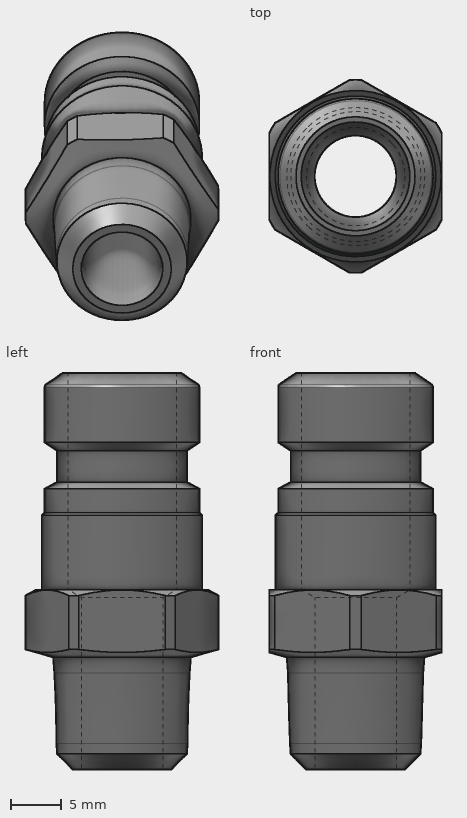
import cadquery as cq
import math

total_height = 39.0
hex_across_flats = 17.0
hex_corner_diameter = 19.0
hex_bottom_z = 11.05
hex_top_z = 17.7
hex_bottom_chamfer_height = 0.78
hex_top_chamfer_height = 0.6
hex_top_face_radius = 8.42

shank_tip_radius = 6.4
tip_chamfer = 1.55
thread_start_z = 2.6
thread_end_z = 9.5
thread_start_radius = 6.47
thread_end_radius = 6.65
shank_root_radius = 6.8

body_radius = 15.8 / 2
collar_radius = 15.25 / 2
neck_radius = 12.8 / 2
body_shoulder_z = 25.27
collar_top_z = 27.6
neck_bottom_z = 28.28
neck_top_z = 31.35
head_bottom_z = 32.18
head_top_cone_z = 37.8
head_rim_radius = 5.85
head_edge_fillet = 0.4

through_bore_radius = 8.0 / 2
wide_bore_radius = 10.7 / 2
wide_bore_bottom_z = hex_top_z
bore_cone_angle = 30.0


def revolve_profile(points):
    """Turn a closed (radius, z) outline around the Z axis."""
    return cq.Workplane("XZ").polyline(points).close().revolve(360, (0, 0, 0), (0, 1, 0))


def make_shank():
    """Shank that widens upward in three conical stretches above its tip chamfer."""
    return revolve_profile([
        (0, 0),
        (shank_tip_radius - tip_chamfer, 0),
        (shank_tip_radius, tip_chamfer),
        (thread_start_radius, thread_start_z),
        (thread_end_radius, thread_end_z),
        (shank_root_radius, hex_bottom_z),
        (0, hex_bottom_z),
    ])


def make_hexagon():
    """Hexagon with corners toward +Y and -Y, turned round and conical at its corners."""
    corner_radius = hex_corner_diameter / 2
    prism = (
        cq.Workplane("XY", origin=(0, 0, hex_bottom_z))
        .polygon(6, hex_across_flats / math.cos(math.radians(30)))
        .extrude(hex_top_z - hex_bottom_z)
        .rotate((0, 0, 0), (0, 0, 1), 30)
    )
    turned_blank = revolve_profile([
        (0, hex_bottom_z),
        (shank_root_radius, hex_bottom_z),
        (corner_radius, hex_bottom_z + hex_bottom_chamfer_height),
        (corner_radius, hex_top_z - hex_top_chamfer_height),
        (hex_top_face_radius, hex_top_z),
        (0, hex_top_z),
    ])
    return prism.intersect(turned_blank)


def make_plug():
    """Body, collar, locking groove and head, with the upper head edge rounded."""
    plug = revolve_profile([
        (0, hex_top_z),
        (body_radius, hex_top_z),
        (body_radius, body_shoulder_z - (body_radius - collar_radius)),
        (collar_radius, body_shoulder_z),
        (collar_radius, collar_top_z),
        (neck_radius, neck_bottom_z),
        (neck_radius, neck_top_z),
        (collar_radius, head_bottom_z),
        (collar_radius, head_top_cone_z),
        (head_rim_radius, total_height),
        (0, total_height),
    ])
    edge_finder = cq.selectors.BoxSelector(
        (-body_radius, -body_radius, head_top_cone_z - head_edge_fillet / 2),
        (body_radius, body_radius, head_top_cone_z + head_edge_fillet / 2),
        boundingbox=True,
    )
    return plug.edges(edge_finder).fillet(head_edge_fillet)


def make_bore():
    """Wide upper bore that narrows through a conical step to the through bore."""
    step_width = wide_bore_radius - through_bore_radius
    step_height = step_width * math.tan(math.radians(bore_cone_angle))
    return revolve_profile([
        (0, 0),
        (through_bore_radius, 0),
        (through_bore_radius, wide_bore_bottom_z - step_height),
        (wide_bore_radius, wide_bore_bottom_z),
        (wide_bore_radius, total_height),
        (0, total_height),
    ])


result = make_shank().union(make_hexagon()).union(make_plug()).cut(make_bore())